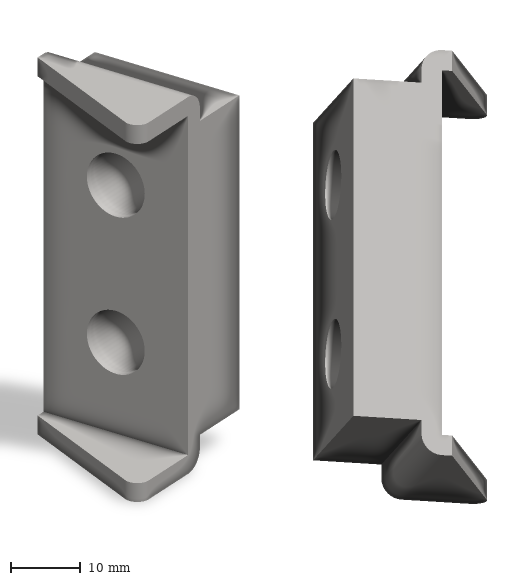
import cadquery as cq
import math

width = 25.0
depth = 25.0
height = 60.0

wall = 3.0
bend_radius = 3.0
flange_short_side = 1.5
tip_radius = 2.0

block_depth = 10.0
block_height = 50.0

hole_diameter = 10.0
hole_spacing = 25.0

plate_back = -block_depth
plate_front = plate_back - wall


def make_block():
    return cq.Workplane("XY").box(width, block_depth, block_height).translate((0, -block_depth / 2, 0))


def make_channel():
    """U-shaped channel with rounded outer bends and sharp inner corners."""
    length = depth - block_depth
    outer = (
        cq.Workplane("XY")
        .box(width, length, height)
        .translate((0, plate_back - length / 2, 0))
        .edges("|X and >Y")
        .fillet(bend_radius)
    )
    opening = (
        cq.Workplane("XY")
        .box(width, length, height - 2 * wall)
        .translate((0, plate_front - length / 2, 0))
    )
    return outer.cut(opening)


def make_plan_outline():
    """Full-height prism whose sloped front edge runs tangent into the rounded tip."""
    left = -width / 2
    right = width / 2
    slope_start_y = plate_front - flange_short_side
    tip_x = right - tip_radius
    tip_y = -depth + tip_radius

    run = tip_x - left
    drop = slope_start_y - tip_y
    slope = math.atan2(drop, run) + math.asin(tip_radius / math.hypot(run, drop))

    def on_tip(angle):
        return (tip_x + tip_radius * math.cos(angle), tip_y + tip_radius * math.sin(angle))

    tangent_angle = -math.pi / 2 - slope
    return (
        cq.Workplane("XY")
        .moveTo(left, 0)
        .lineTo(left, slope_start_y)
        .lineTo(*on_tip(tangent_angle))
        .threePointArc(on_tip(tangent_angle / 2), on_tip(0))
        .lineTo(right, 0)
        .close()
        .extrude(height / 2, both=True)
    )


def make_holes():
    return (
        cq.Workplane("XZ")
        .pushPoints([(0, -hole_spacing / 2), (0, hole_spacing / 2)])
        .circle(hole_diameter / 2)
        .extrude(depth)
    )


result = make_block().union(make_channel().intersect(make_plan_outline())).cut(make_holes())